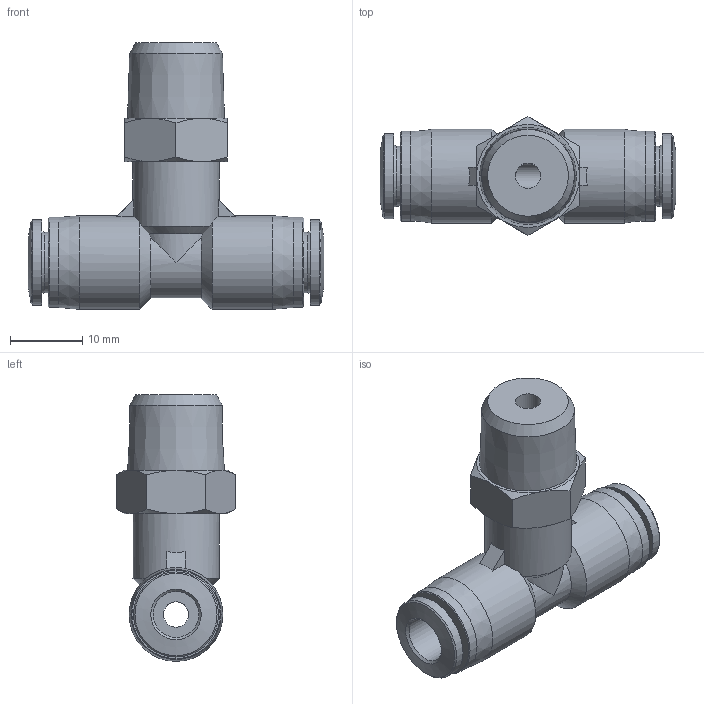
import cadquery as cq
import math


core_radius = 5.0
bore_diameter = 3.5

body_radius = 6.5
body_inner_chamfer = body_radius - core_radius
body_inner_start = 3.5
body_taper_start = 13.4
body_taper_end = 16.25
body_end = 17.75
body_end_radius = 12.5 / 2
body_end_chamfer = 0.13

neck_radius = 8.35 / 2
neck_lead = 18.25
neck_lead_radius = 4.3
flange_radius = 11.8 / 2
flange_back = 18.64
flange_edge_chamfer = 0.2
flange_face_edge = 20.1
port_length = 20.5

tube_bore_radius = 6.35 / 2
tube_bore_end = 8.0
mouth_radius = 3.5
mouth_chamfer = mouth_radius - tube_bore_radius

stem_radius = 12.0 / 2
stem_chamfer = stem_radius - core_radius
stem_start = 4.0
hex_sides = 6
hex_bottom = 14.0
hex_height = 6.0
hex_top = hex_bottom + hex_height
hex_across_corners = 16.5
hex_across_flats = hex_across_corners * math.cos(math.pi / hex_sides)
hex_chamfer_angle = 30.0
thread_top = 30.5
thread_chamfer_height = 1.5
thread_end_radius = 12.88 / 2
thread_tip_radius = 11.2 / 2
thread_taper = 1 / 16

gusset_width = 2.5
gusset_reach = 14.6


def revolve_about_z(points):
    """Revolve a closed (radius, height) outline about the Z axis."""
    return cq.Workplane("XZ").polyline(points).close().revolve(360, (0, 0, 0), (0, 1, 0))


def place_port(solid, side):
    """Turn a solid built along +Z onto the X axis, pointing to +X or -X."""
    return solid.rotate((0, 0, 0), (0, 1, 0), 90 * side)


def make_port():
    """Outer shape of one port: core, body with tapered end, neck and flange."""
    return revolve_about_z([
        (0, 0),
        (core_radius, 0),
        (core_radius, body_inner_start),
        (body_radius, body_inner_start + body_inner_chamfer),
        (body_radius, body_taper_start),
        (body_end_radius, body_taper_end),
        (body_end_radius, body_end - body_end_chamfer),
        (body_end_radius - body_end_chamfer, body_end),
        (neck_radius, body_end),
        (neck_radius, neck_lead),
        (neck_lead_radius, flange_back),
        (flange_radius, flange_back),
        (flange_radius, flange_face_edge - flange_edge_chamfer),
        (flange_radius - flange_edge_chamfer, flange_face_edge),
        (mouth_radius, port_length),
        (0, port_length),
    ])


def make_socket():
    """Tube bore of one port with its chamfered mouth."""
    return revolve_about_z([
        (0, tube_bore_end),
        (tube_bore_radius, tube_bore_end),
        (tube_bore_radius, port_length - mouth_chamfer),
        (mouth_radius, port_length),
        (0, port_length),
    ])


def make_stem():
    """Branch core, stem and tapered thread as one turned body."""
    thread_length = thread_top - thread_chamfer_height - hex_top
    thread_base_radius = thread_end_radius + thread_length * thread_taper / 2
    return revolve_about_z([
        (0, 0),
        (core_radius, 0),
        (core_radius, stem_start),
        (stem_radius, stem_start + stem_chamfer),
        (stem_radius, hex_top),
        (thread_base_radius, hex_top),
        (thread_end_radius, thread_top - thread_chamfer_height),
        (thread_tip_radius, thread_top),
        (0, thread_top),
    ])


def make_hexagon():
    """Hexagon with corners on the Y axis and both ends chamfered by a cone."""
    corner_radius = hex_across_corners / 2
    face_radius = hex_across_flats / 2
    drop = (corner_radius - face_radius) * math.tan(math.radians(hex_chamfer_angle))
    corner_turn = 360 / hex_sides / 2
    prism = (
        cq.Workplane("XY", origin=(0, 0, hex_bottom))
        .polygon(hex_sides, hex_across_corners)
        .extrude(hex_height)
        .rotate((0, 0, 0), (0, 0, 1), corner_turn)
    )
    envelope = revolve_about_z([
        (0, hex_bottom),
        (face_radius, hex_bottom),
        (corner_radius, hex_bottom + drop),
        (corner_radius, hex_top - drop),
        (face_radius, hex_top),
        (0, hex_top),
    ])
    return prism.intersect(envelope)


def make_gussets():
    """Both gussets as one triangular plate lying across the stem."""
    return (
        cq.Workplane("XZ")
        .polyline([(-gusset_reach, 0), (gusset_reach, 0), (0, gusset_reach)])
        .close()
        .extrude(gusset_width / 2, both=True)
    )


def trim_gussets(plate):
    """Keep the part of the plate above the core, where it fills the corners."""
    zone_length = 2 * body_taper_start
    zone_height = hex_bottom - core_radius
    zone = (
        cq.Workplane("XY", origin=(0, 0, core_radius))
        .box(zone_length, gusset_width, zone_height, centered=(True, True, False))
    )
    return plate.intersect(zone)


def make_bores():
    """Straight bore through both ports and the bore down the stem to meet it."""
    bore_radius = bore_diameter / 2
    run = cq.Workplane("YZ").circle(bore_radius).extrude(port_length, both=True)
    branch = cq.Workplane("XY").circle(bore_radius).extrude(thread_top)
    return run.union(branch)


result = make_stem().union(make_hexagon())
for side in (-1, 1):
    result = result.union(place_port(make_port(), side))
result = result.union(trim_gussets(make_gussets()))
result = result.cut(make_bores())
for side in (-1, 1):
    result = result.cut(place_port(make_socket(), side))